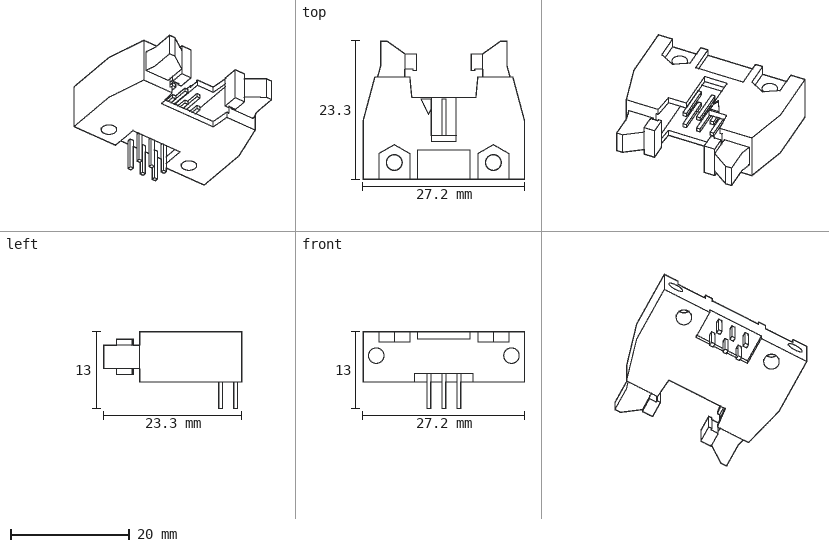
import cadquery as cq
import math

HALF_WIDTH = 13.6
HEIGHT = 8.5
MID_Z = HEIGHT / 2
SHOULDER_Y = 9.95
ARM_END_Y = 17.27
ARM_OUTER_X = 11.65
ARM_INNER_X = 5.7
NOTCH_Y = 13.82
NOTCH_HALF_WIDTH = 5.39

WALL = 1.15
CAVITY_Y = 7.43
CAVITY_HALF_WIDTH = 6.12
KEY_Y = 6.4
KEY_WIDTH = 4.15

MARK_X = -2.58
MARK_HALF_WIDTH = 1.25
MARK_BASE_Y = 13.52
MARK_TIP_Y = 10.95
MARK_DEPTH = 0.25

TOP_RECESS_WIDTH = 8.8
TOP_RECESS_LENGTH = 4.98
TOP_RECESS_DEPTH = 1.22
PIN_RECESS_WIDTH = 9.85
PIN_RECESS_LENGTH = 4.98
PIN_RECESS_HEIGHT = 1.45

HOLE_DIAMETER = 2.6
MOUNT_X = 8.35
MOUNT_Y = 2.83
NUT_WIDTH = 5.22
NUT_DEPTH = 1.75
FRONT_HOLE_X = 11.4
FRONT_HOLE_Z = 4.45
FRONT_HOLE_DEPTH = 5.45

PITCH = 2.53
WIRE = 0.65
ROWS = 2
COLUMNS = 3
TAIL_LENGTH = 4.5
FIRST_TAIL_Y = 1.05
CONTACT_TIP_Y = 13.52

LATCH_HEIGHT = 3.97
LATCH_END_Y = 23.3
LATCH_INNER_X = 6.55
LATCH_OUTER_X = 10.65
LATCH_ROOT_X = 11.18
LATCH_BEND_Y = 19.12
LATCH_TIP_WIDTH = 1.1
HOOK_HEIGHT = 5.98
HOOK_Y = 18.58
HOOK_END_Y = 21.15
HOOK_INNER_X = 4.6
HOOK_LIP_WIDTH = 0.63
HOOK_LIP_LENGTH = 0.27


def block(x_range, y_range, z_range):
    """Box spanning the given (low, high) ranges."""
    sides = [high - low for low, high in (x_range, y_range, z_range)]
    corner = (x_range[0], y_range[0], z_range[0])
    return cq.Workplane("XY").box(*sides, centered=False).translate(corner)


def plate(points, bottom, height):
    """Vertical prism over a polygon in the XY plane."""
    return cq.Workplane("XY", origin=(0, 0, bottom)).polyline(points).close().extrude(height)


def both_sides(solid):
    """The solid together with its mirror image across the X = 0 plane."""
    return solid.union(solid.mirror("YZ"))


def span(width):
    """Range of the given width centred on zero."""
    return (-width / 2, width / 2)


def make_housing():
    right = [
        (HALF_WIDTH, 0),
        (HALF_WIDTH, SHOULDER_Y),
        (ARM_OUTER_X, ARM_END_Y),
        (ARM_INNER_X, ARM_END_Y),
        (NOTCH_HALF_WIDTH, NOTCH_Y),
    ]
    left = [(-x, y) for x, y in reversed(right)]
    return plate(right + left, 0, HEIGHT)


def make_cavity():
    cavity = block(span(2 * CAVITY_HALF_WIDTH), (CAVITY_Y, ARM_END_Y), (WALL, HEIGHT - WALL))
    key_slot = block(span(KEY_WIDTH), (KEY_Y, ARM_END_Y), (HEIGHT - WALL, HEIGHT))
    return cavity.union(key_slot)


def make_mark():
    corners = [
        (MARK_X - MARK_HALF_WIDTH, MARK_BASE_Y),
        (MARK_X, MARK_TIP_Y),
        (MARK_X + MARK_HALF_WIDTH, MARK_BASE_Y),
    ]
    return plate(corners, HEIGHT - MARK_DEPTH, MARK_DEPTH)


def make_front_recesses():
    top = block(span(TOP_RECESS_WIDTH), (0, TOP_RECESS_LENGTH), (HEIGHT - TOP_RECESS_DEPTH, HEIGHT))
    bottom = block(span(PIN_RECESS_WIDTH), (0, PIN_RECESS_LENGTH), (0, PIN_RECESS_HEIGHT))
    return top.union(bottom)


def make_mounting():
    """Through holes with nut pockets that run out through the front face."""
    radius = NUT_WIDTH / math.sqrt(3)
    half = NUT_WIDTH / 2
    outline = [
        (MOUNT_X - half, 0),
        (MOUNT_X + half, 0),
        (MOUNT_X + half, MOUNT_Y + radius / 2),
        (MOUNT_X, MOUNT_Y + radius),
        (MOUNT_X - half, MOUNT_Y + radius / 2),
    ]
    pocket = plate(outline, HEIGHT - NUT_DEPTH, NUT_DEPTH)
    hole = cq.Workplane("XY").center(MOUNT_X, MOUNT_Y).circle(HOLE_DIAMETER / 2).extrude(HEIGHT)
    return both_sides(pocket.union(hole))


def make_front_holes():
    hole = (
        cq.Workplane("XZ")
        .center(FRONT_HOLE_X, FRONT_HOLE_Z)
        .circle(HOLE_DIAMETER / 2)
        .extrude(-FRONT_HOLE_DEPTH)
    )
    return both_sides(hole)


def make_contacts():
    """Bent wires: a tail below the housing joined to a contact in the cavity."""
    contacts = cq.Workplane("XY")
    half = WIRE / 2
    for row in range(ROWS):
        tail_y = FIRST_TAIL_Y + row * PITCH
        contact_z = MID_Z + PITCH * ((ROWS - 1) / 2 - row)
        for column in range(COLUMNS):
            x = PITCH * (column - (COLUMNS - 1) / 2)
            across = (x - half, x + half)
            tail = block(across, (tail_y - half, tail_y + half), (-TAIL_LENGTH, contact_z + half))
            contact = block(across, (tail_y - half, CONTACT_TIP_Y), (contact_z - half, contact_z + half))
            contacts = contacts.union(tail).union(contact)
    return contacts


def make_latches():
    lever_outline = [
        (LATCH_INNER_X, ARM_END_Y),
        (LATCH_ROOT_X, ARM_END_Y),
        (LATCH_OUTER_X, LATCH_BEND_Y),
        (LATCH_OUTER_X, LATCH_END_Y),
        (LATCH_OUTER_X - LATCH_TIP_WIDTH, LATCH_END_Y),
        (LATCH_INNER_X, HOOK_END_Y),
    ]
    hook_outline = [
        (LATCH_INNER_X, HOOK_Y),
        (LATCH_INNER_X, HOOK_END_Y),
        (HOOK_INNER_X, HOOK_END_Y),
        (HOOK_INNER_X, HOOK_Y - HOOK_LIP_LENGTH),
        (HOOK_INNER_X + HOOK_LIP_WIDTH, HOOK_Y - HOOK_LIP_LENGTH),
        (HOOK_INNER_X + HOOK_LIP_WIDTH, HOOK_Y),
    ]
    lever = plate(lever_outline, MID_Z - LATCH_HEIGHT / 2, LATCH_HEIGHT)
    hook = plate(hook_outline, MID_Z - HOOK_HEIGHT / 2, HOOK_HEIGHT)
    return both_sides(lever.union(hook))


housing = (
    make_housing()
    .cut(make_cavity())
    .cut(make_mark())
    .cut(make_front_recesses())
    .cut(make_mounting())
    .cut(make_front_holes())
)
result = housing.union(make_contacts()).union(make_latches())